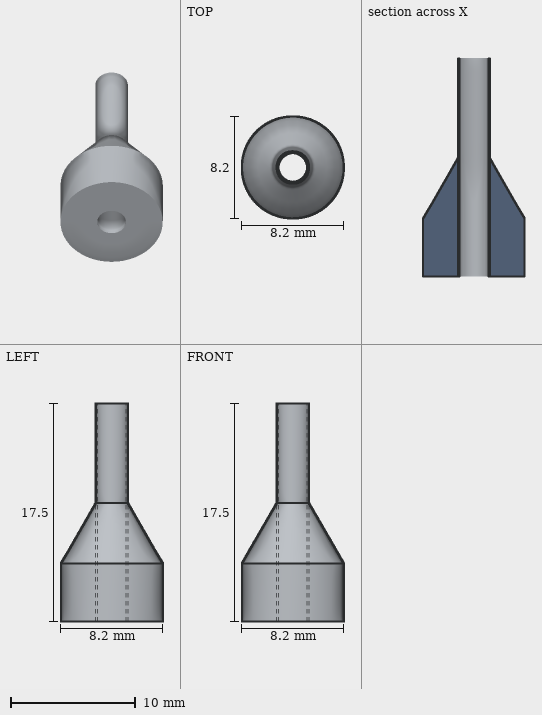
import cadquery as cq

total_height = 17.5
tube_outer_diameter = 2.6
tube_inner_diameter = 2.3
tube_exposed_length = 8.0

collar_diameter = 8.2
collar_skirt_height = 4.65
collar_height = total_height - tube_exposed_length

tube_outer_radius = tube_outer_diameter / 2
collar_radius = collar_diameter / 2


def make_tube():
    """Thin-walled tube running the full height of the ferrule."""
    return (
        cq.Workplane("XY")
        .circle(tube_outer_radius)
        .circle(tube_inner_diameter / 2)
        .extrude(total_height)
    )


def make_collar():
    """Collar with a straight skirt and a cone that narrows to the tube, bored to fit the tube."""
    return (
        cq.Workplane("XZ")
        .moveTo(tube_outer_radius, 0)
        .lineTo(collar_radius, 0)
        .lineTo(collar_radius, collar_skirt_height)
        .lineTo(tube_outer_radius, collar_height)
        .close()
        .revolve(360, (0, 0, 0), (0, 1, 0))
    )


tube = make_tube()
collar = make_collar()

result = cq.Compound.makeCompound([tube.val(), collar.val()])